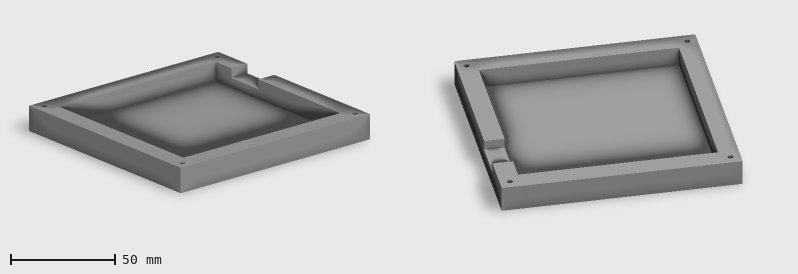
import cadquery as cq

length_x = 113.5
length_y = 118.0
height = 13.0

wall = 10.0
cavity_depth = 10.0

notch_offset = 22.1
notch_width = 20.0
notch_depth = 5.0

hole_diameter = 3.0
hole_inset = wall / 2


def make_tray():
    """Rectangular block hollowed from above, standing on Z = 0."""
    block = cq.Workplane("XY").box(length_x, length_y, height, centered=(True, True, False))
    return (
        block.faces(">Z").workplane()
        .rect(length_x - 2 * wall, length_y - 2 * wall)
        .cutBlind(-cavity_depth)
    )


def make_notch():
    """Cutter that lowers part of the +Y wall."""
    corner = (-length_x / 2 + notch_offset, length_y / 2 - wall, height - notch_depth)
    return cq.Workplane("XY").box(notch_width, wall, notch_depth, centered=False).translate(corner)


def make_corner_holes():
    """Cutters for the four vertical through holes."""
    return (
        cq.Workplane("XY")
        .rect(length_x - 2 * hole_inset, length_y - 2 * hole_inset, forConstruction=True)
        .vertices()
        .circle(hole_diameter / 2)
        .extrude(height)
    )


result = make_tray().cut(make_notch()).cut(make_corner_holes())